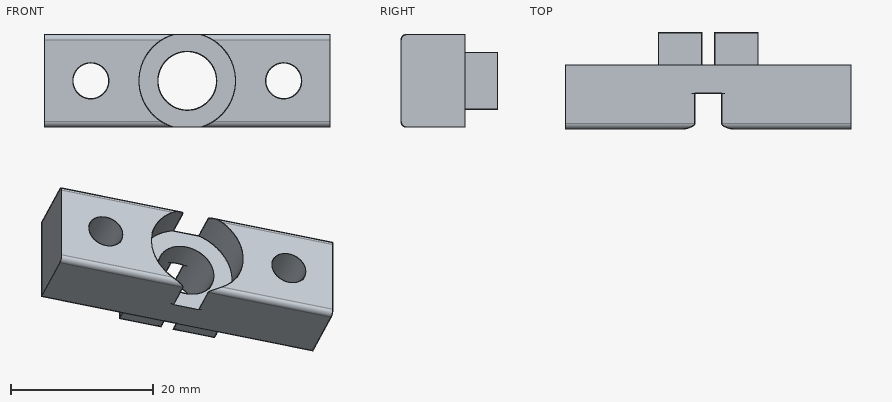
import cadquery as cq

body_length = 40.0
body_depth = 9.0
body_height = 13.0
front_edge_radius = 0.8

boss_length = 14.0
boss_height = 8.0
boss_depth = 4.5

bore_diameter = 8.2
counterbore_diameter = 13.5
counterbore_depth = 5.0

mount_hole_diameter = 5.0
mount_hole_spacing = 27.0

total_depth = body_depth + boss_depth


def block(length, depth, height, front_y):
    """Box centred on X and Z, starting at front_y and extending along +Y."""
    return (
        cq.Workplane("XY")
        .box(length, depth, height, centered=(True, False, True))
        .translate((0, front_y, 0))
    )


def drill(diameter, depth, x=0):
    """Cylinder entering the front face at x and running along +Y."""
    return cq.Workplane("XZ").center(x, 0).circle(diameter / 2).extrude(-depth)


body = block(body_length, body_depth, body_height, 0)
body = body.edges("|X and <Y").fillet(front_edge_radius)

result = body.union(block(boss_length, boss_depth, boss_height, body_depth))

result = result.cut(drill(bore_diameter, total_depth))
result = result.cut(drill(counterbore_diameter, counterbore_depth))

for side in (-1, 1):
    hole_x = side * mount_hole_spacing / 2
    result = result.cut(drill(mount_hole_diameter, body_depth, hole_x))